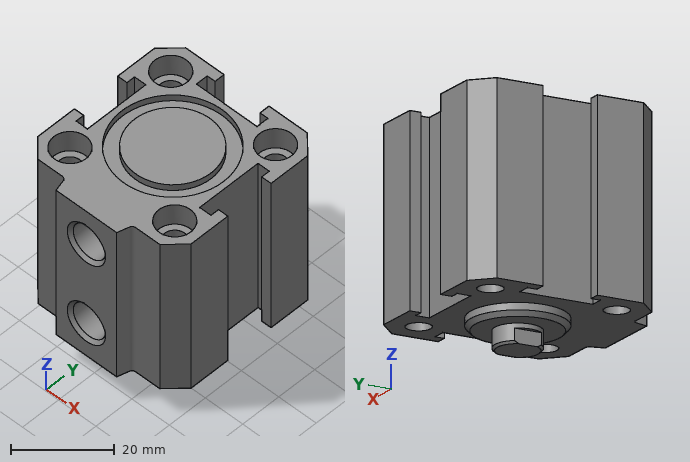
import cadquery as cq
import math


width = 41.0
half_width = width / 2
height = 40.5
corner_chamfer = 4.25

slot_mouth = 12.0
slot_inner_width = 16.2
slot_lip = 2.5
slot_depth = 5.5

pad_height = 3.5
pad_face_width = 16.2
pad_draft = 15.0
pad_root_radius = 1.0

mount_pitch = 28.0
mount_diameter = 5.3
mount_bore_diameter = 8.5
mount_bore_depth = 5.4

port_diameter = 8.57
port_mouth_diameter = 10.2
port_depth = 8.0
port_mouth_angle = 45.0
port_end_distance = 9.15

recess_diameter = 27.1
boss_diameter = 20.5
recess_depth = 1.6
collar_height = 2.5
collar_chamfer = 1.0

rod_diameter = 10.0
rod_exposed = 4.0
rod_seat_depth = 10.0
rod_chamfer = 0.5
rod_flat_width = 8.0
rod_flat_length = 3.0


def make_profile_block():
    """Square block with chamfered vertical corners and the port pad on its -Y side."""
    block = (
        cq.Workplane("XY")
        .rect(width, width)
        .extrude(height)
        .edges("|Z")
        .chamfer(corner_chamfer)
    )
    face_half = pad_face_width / 2
    root_half = face_half + pad_height * math.tan(math.radians(pad_draft))
    pad = (
        cq.Workplane("XY")
        .moveTo(-face_half, -half_width - pad_height)
        .lineTo(face_half, -half_width - pad_height)
        .lineTo(root_half, -half_width)
        .lineTo(root_half, 0)
        .lineTo(-root_half, 0)
        .lineTo(-root_half, -half_width)
        .close()
        .extrude(height)
    )
    margin = pad_root_radius / 10
    root_corners = cq.selectors.BoxSelector(
        (-root_half - margin, -half_width - margin, 0),
        (root_half + margin, -half_width + margin, height),
    )
    return block.union(pad).edges("|Z").edges(root_corners).fillet(pad_root_radius)


def make_t_slot(angle):
    """Full-height T-slot cutter for the +Y side, turned about Z by the angle in degrees."""
    mouth = cq.Workplane("XY").box(slot_mouth, slot_depth, height, centered=(True, False, False))
    inner = cq.Workplane("XY").box(
        slot_inner_width, slot_depth - slot_lip, height, centered=(True, False, False)
    )
    slot = mouth.union(inner).translate((0, half_width - slot_depth, 0))
    return slot.rotate((0, 0, 0), (0, 0, 1), angle)


def make_port(z):
    """Blind port cutter entering from the pad face, with a countersunk mouth."""
    mouth_depth = (port_mouth_diameter - port_diameter) / 2 / math.tan(math.radians(port_mouth_angle))
    pad_face = cq.Plane(origin=(0, -half_width - pad_height, z), xDir=(1, 0, 0), normal=(0, 1, 0))
    bore = cq.Workplane(pad_face).circle(port_diameter / 2).extrude(port_depth)
    countersink = (
        cq.Workplane(pad_face)
        .circle(port_mouth_diameter / 2)
        .extrude(mouth_depth, taper=port_mouth_angle)
    )
    return bore.union(countersink)


def make_rod():
    """Round rod with a chamfered tip and two wrench flats facing -X and +X."""
    rod_tip = -collar_height - rod_exposed
    rod_length = rod_exposed + rod_seat_depth
    rod = (
        cq.Workplane("XY", origin=(0, 0, rod_tip))
        .circle(rod_diameter / 2)
        .extrude(rod_length)
        .faces("<Z")
        .chamfer(rod_chamfer)
    )
    for side in (-1, 1):
        flat_cutter = cq.Workplane("XY").box(
            rod_diameter, 2 * rod_diameter, rod_flat_length, centered=(True, True, False)
        )
        offset = side * (rod_flat_width + rod_diameter) / 2
        rod = rod.cut(flat_cutter.translate((offset, 0, rod_tip)))
    return rod


def make_housing():
    """Housing with slots, mounting holes, ports, end recess, rod-end collar and rod seat."""
    housing = make_profile_block()

    for angle in (-90, 0, 90):
        housing = housing.cut(make_t_slot(angle))

    housing = (
        housing.faces(">Z")
        .workplane(origin=(0, 0, height))
        .rect(mount_pitch, mount_pitch, forConstruction=True)
        .vertices()
        .cboreHole(mount_diameter, mount_bore_diameter, mount_bore_depth)
    )

    for port_z in (port_end_distance, height - port_end_distance):
        housing = housing.cut(make_port(port_z))

    recess = (
        cq.Workplane("XY", origin=(0, 0, height - recess_depth))
        .circle(recess_diameter / 2)
        .circle(boss_diameter / 2)
        .extrude(recess_depth)
    )
    housing = housing.cut(recess)

    collar = (
        cq.Workplane("XY", origin=(0, 0, -collar_height))
        .circle(boss_diameter / 2)
        .extrude(collar_height)
        .faces("<Z")
        .chamfer(collar_chamfer)
    )
    rod_seat = (
        cq.Workplane("XY", origin=(0, 0, -collar_height))
        .circle(rod_diameter / 2)
        .extrude(rod_seat_depth)
    )
    return housing.union(collar).cut(rod_seat)


housing = make_housing()
rod = make_rod()
result = cq.Compound.makeCompound([housing.val(), rod.val()])